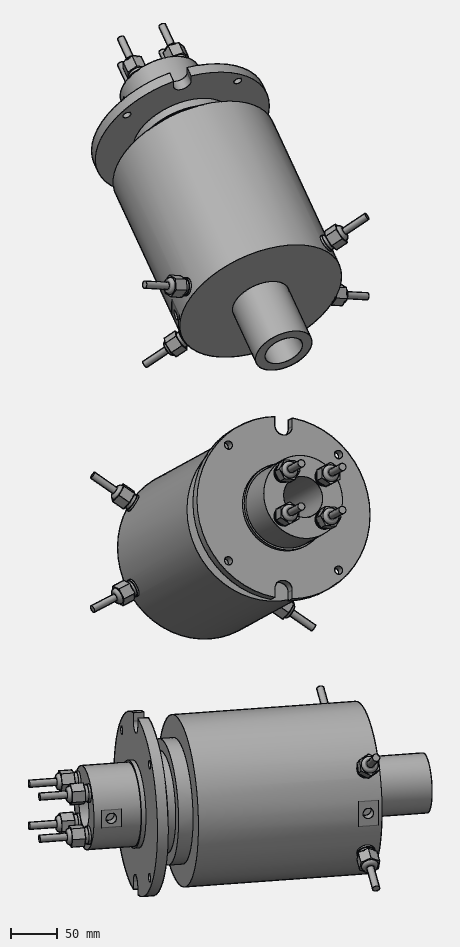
import cadquery as cq
import math


HUB_LENGTH = 57
HUB_DIAMETER = 91
HUB_COLLAR_LENGTH = 5
HUB_COLLAR_DIAMETER = 95
FLANGE_THICKNESS = 12
FLANGE_DIAMETER = 200
PILOT_END = 21.5
PILOT_DIAMETER = 113.5
NECK_END = 31
NECK_DIAMETER = 110.5
SHOULDER_END = 47
SHOULDER_DIAMETER = 136.5
BODY_END = 250
BODY_DIAMETER = 186
SHAFT_END = 320
SHAFT_DIAMETER = 65
BORE_DIAMETER = 45
SHAFT_BORE_DIAMETER = 43

CYLINDERS = [
    (-HUB_LENGTH, -HUB_COLLAR_LENGTH, HUB_DIAMETER),
    (-HUB_COLLAR_LENGTH, 0, HUB_COLLAR_DIAMETER),
    (0, FLANGE_THICKNESS, FLANGE_DIAMETER),
    (FLANGE_THICKNESS, PILOT_END, PILOT_DIAMETER),
    (PILOT_END, NECK_END, NECK_DIAMETER),
    (NECK_END, SHOULDER_END, SHOULDER_DIAMETER),
    (SHOULDER_END, BODY_END, BODY_DIAMETER),
    (BODY_END, SHAFT_END, SHAFT_DIAMETER),
]

SLOT_WIDTH = 20
SLOT_CENTRE_RADIUS = 90
MOUNTING_HOLE_DIAMETER = 9
MOUNTING_CIRCLE_DIAMETER = 180
MOUNTING_HOLE_COUNT = 4
FIRST_HOLE_ANGLE = 45

PAD_LENGTH = 22
HUB_PAD_HEIGHT = 19.5
HUB_PAD_X = -37.5
BODY_PAD_HEIGHT = 28
PORT_END_DISTANCE = 15
BODY_PORT_X = BODY_END - PORT_END_DISTANCE
PORT_DIAMETER = 11.5
PORT_DEPTH = 12

FITTING_ROOT_DEPTH = 3
FITTING_BASE_TOP = 2.5
FITTING_BASE_DIAMETER = 20
FITTING_NECK_TOP = 6.5
FITTING_NECK_DIAMETER = 18
NUT_TOP = 21
NUT_ACROSS_CORNERS = 24
NUT_COLLAR_TOP = 25
NUT_COLLAR_DIAMETER = 18.5
NUT_COLLAR_FILLET = NUT_COLLAR_TOP - NUT_TOP
TUBE_TOP = 54.9
TUBE_DIAMETER = 8
HUB_FITTING_OFFSET = 23.7
HUB_FITTING_COUNT = 4
BODY_FITTING_ANGLE = 30
BODY_FITTING_SEAT_RADIUS = 92.5


def x_cylinder(start, end, diameter):
    """Cylinder along the main axis."""
    return cq.Workplane("YZ", origin=(start, 0, 0)).circle(diameter / 2).extrude(end - start)


def z_cylinder(start, end, diameter):
    """Cylinder along a fitting's own axis."""
    return cq.Workplane("XY", origin=(0, 0, start)).circle(diameter / 2).extrude(end - start)


def make_stepped_body():
    """Coaxial cylinders joined end to end."""
    body = x_cylinder(*CYLINDERS[0])
    for cylinder in CYLINDERS[1:]:
        body = body.union(x_cylinder(*cylinder))
    return body


def make_flange_cuts():
    """Two round-bottomed slots at the top and bottom, and four mounting holes at 45 degrees."""
    plane = cq.Workplane("YZ")
    outer_radius = FLANGE_DIAMETER / 2
    mouth_height = outer_radius - SLOT_CENTRE_RADIUS
    cuts = plane.polarArray(MOUNTING_CIRCLE_DIAMETER / 2, FIRST_HOLE_ANGLE, 360, MOUNTING_HOLE_COUNT)
    cuts = cuts.circle(MOUNTING_HOLE_DIAMETER / 2).extrude(FLANGE_THICKNESS)
    for side in (1, -1):
        slot_end = plane.center(0, side * SLOT_CENTRE_RADIUS)
        slot_mouth = plane.center(0, side * (SLOT_CENTRE_RADIUS + mouth_height / 2))
        cuts = cuts.union(slot_end.circle(SLOT_WIDTH / 2).extrude(FLANGE_THICKNESS))
        cuts = cuts.union(slot_mouth.rect(SLOT_WIDTH, mouth_height).extrude(FLANGE_THICKNESS))
    return cuts


def make_port_cut(x, surface_diameter, pad_height):
    """Flat pad whose height is a chord of the cylinder, with a blind port hole at its centre."""
    radius = surface_diameter / 2
    pad_distance = math.sqrt(radius**2 - (pad_height / 2) ** 2)
    pad = cq.Workplane("XZ", origin=(x, -pad_distance, 0))
    pad_cut = pad.rect(PAD_LENGTH, pad_height).extrude(radius - pad_distance)
    hole = pad.circle(PORT_DIAMETER / 2).extrude(-PORT_DEPTH)
    return pad_cut.union(hole)


def make_fitting():
    """Tube fitting standing on Z = 0, with its tube toward +Z and nut corners on the X axis.

    The rounded collar runs through the nut, and its fillet takes up all of the length above the nut.
    """
    base = z_cylinder(-FITTING_ROOT_DEPTH, FITTING_BASE_TOP, FITTING_BASE_DIAMETER)
    neck = z_cylinder(FITTING_BASE_TOP, FITTING_NECK_TOP, FITTING_NECK_DIAMETER)
    nut_plane = cq.Workplane("XY", origin=(0, 0, FITTING_NECK_TOP))
    nut = nut_plane.polygon(6, NUT_ACROSS_CORNERS).extrude(NUT_TOP - FITTING_NECK_TOP)
    collar = z_cylinder(FITTING_NECK_TOP, NUT_COLLAR_TOP, NUT_COLLAR_DIAMETER)
    collar = collar.faces(">Z").edges().fillet(NUT_COLLAR_FILLET)
    tube = z_cylinder(NUT_COLLAR_TOP, TUBE_TOP, TUBE_DIAMETER)
    return base.union(neck).union(nut).union(collar).union(tube)


def place_on_hub(fitting, turn):
    """Fitting on the hub face pointing toward -X, turned about the main axis."""
    placed = fitting.rotate((0, 0, 0), (0, 1, 0), -90)
    placed = placed.translate((-HUB_LENGTH, -HUB_FITTING_OFFSET, HUB_FITTING_OFFSET))
    return placed.rotate((0, 0, 0), (1, 0, 0), turn)


def place_on_body(fitting, angle):
    """Fitting pointing radially out of the body, at an angle from +Y about the main axis."""
    placed = fitting.rotate((0, 0, 0), (0, 0, 1), 90)
    placed = placed.translate((BODY_PORT_X, 0, BODY_FITTING_SEAT_RADIUS))
    return placed.rotate((0, 0, 0), (1, 0, 0), angle - 90)


result = make_stepped_body()
result = result.cut(make_flange_cuts())
result = result.cut(make_port_cut(HUB_PAD_X, HUB_DIAMETER, HUB_PAD_HEIGHT))
result = result.cut(make_port_cut(BODY_PORT_X, BODY_DIAMETER, BODY_PAD_HEIGHT))
result = result.cut(x_cylinder(-HUB_LENGTH, BODY_END, BORE_DIAMETER))
result = result.cut(x_cylinder(BODY_END, SHAFT_END, SHAFT_BORE_DIAMETER))

tube_fitting = make_fitting()
for index in range(HUB_FITTING_COUNT):
    result = result.union(place_on_hub(tube_fitting, 360 / HUB_FITTING_COUNT * index))
for side_angle in (0, 180):
    for tilt in (-BODY_FITTING_ANGLE, BODY_FITTING_ANGLE):
        result = result.union(place_on_body(tube_fitting, side_angle + tilt))